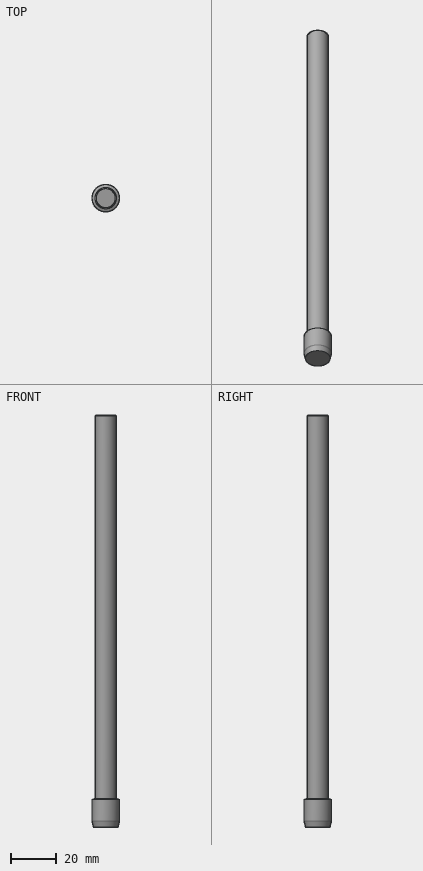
import cadquery as cq

total_length = 180.0
rod_radius = 4.7
ferrule_radius = 6.03
ferrule_length = 12.6

rod_chamfer_height = 0.4
rod_chamfer_width = 0.5

shoulder_rise = 0.45
nose_height = 2.7
nose_radius = 5.4

socket_floor = nose_height


def make_rod():
    """Round rod standing on the socket floor, with a chamfered free end."""
    length = total_length - socket_floor
    tip_radius = rod_radius - rod_chamfer_width
    return (
        cq.Workplane("XZ", origin=(0, 0, socket_floor))
        .lineTo(rod_radius, 0)
        .lineTo(rod_radius, length - rod_chamfer_height)
        .lineTo(tip_radius, length)
        .lineTo(0, length)
        .close()
        .revolve(360, (0, 0, 0), (0, 1, 0))
    )


def make_ferrule():
    """Turned cap with a tapered nose, a conical shoulder and a blind socket."""
    return (
        cq.Workplane("XZ")
        .lineTo(nose_radius, 0)
        .lineTo(ferrule_radius, nose_height)
        .lineTo(ferrule_radius, ferrule_length - shoulder_rise)
        .lineTo(rod_radius, ferrule_length)
        .lineTo(rod_radius, socket_floor)
        .lineTo(0, socket_floor)
        .close()
        .revolve(360, (0, 0, 0), (0, 1, 0))
    )


rod = make_rod()
ferrule = make_ferrule()
result = cq.Compound.makeCompound([rod.val(), ferrule.val()])